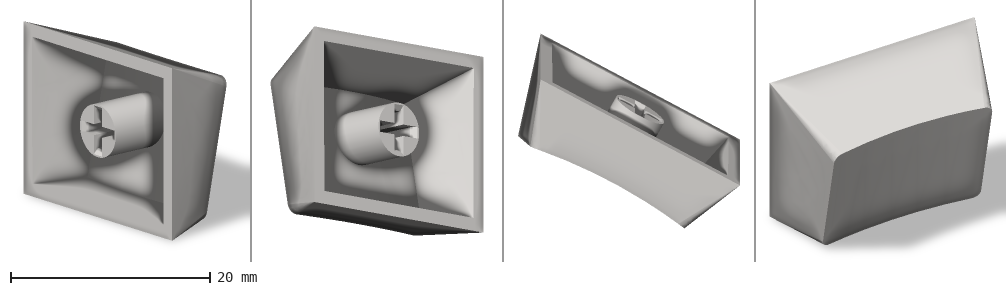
import cadquery as cq
import math

RIM_WIDTH = 22.85
RIM_HEIGHT = 18.0
RIM_CORNER_RADIUS = 0.02
TOP_WIDTH = 17.65
TOP_LENGTH = 14.8
TOP_CORNER_RADIUS = 0.95
TOP_CENTER_Y = 8.15
TOP_CENTER_Z = -1.53
TOP_TILT = 11.5
DISH_SAG = 0.7

WALL = 1.33
OPENING_WIDTH_UPPER = 20.25
OPENING_WIDTH_LOWER = 20.1
CEILING_THICKNESS = 1.23
CEILING_WIDTH_UPPER = 15.68
CEILING_WIDTH_LOWER = 15.81
CEILING_UPPER_Z = 4.85
CEILING_LOWER_Z = -7.56

STEM_RADIUS = 2.75
STEM_LENGTH = 8.23
SOCKET_SPAN = 5.07
SOCKET_FLOOR_SPAN = 4.02
UPRIGHT_SLOT_WIDTH = 1.23
LEVEL_SLOT_WIDTH = 1.17

TILT = math.radians(TOP_TILT)
DISH_RADIUS = ((TOP_WIDTH / 2) ** 2 + DISH_SAG ** 2) / (2 * DISH_SAG)


def facing_plane(y, z=0.0, tilt=0.0):
    """Plane with local x along -X, local y up the top slope and its normal toward +Y."""
    return cq.Plane(
        origin=(0, y, z),
        xDir=(-1, 0, 0),
        normal=(0, math.cos(tilt), -math.sin(tilt)),
    )


def rounded_wire(plane, width, height, corner_radius):
    """Rectangular wire with round corners, centred on the plane's origin."""
    slab_depth = 0.23
    slab = cq.Workplane("XY").rect(width, height).extrude(slab_depth)
    slab = slab.edges("|Z").fillet(corner_radius)
    return slab.faces("<Z").wires().val().moved(plane.location)


def outer_body():
    """Sharp-cornered rim blending into the tilted, round-cornered top."""
    rim = rounded_wire(facing_plane(0), RIM_WIDTH, RIM_HEIGHT, RIM_CORNER_RADIUS)
    top_plane = facing_plane(TOP_CENTER_Y, TOP_CENTER_Z, TILT)
    top = rounded_wire(top_plane, TOP_WIDTH, TOP_LENGTH, TOP_CORNER_RADIUS)
    return cq.Workplane(cq.Solid.makeLoft([rim, top], True))


def dish_cylinder(radius):
    """Cylinder along the top slope whose lowest line is the middle of the dish."""
    axis_height = DISH_RADIUS - DISH_SAG
    plane = facing_plane(TOP_CENTER_Y, TOP_CENTER_Z, TILT)
    along_slope = cq.Plane(
        origin=plane.toWorldCoords((0, 0, axis_height)),
        xDir=(1, 0, 0),
        normal=plane.yDir,
    )
    return cq.Workplane(along_slope).circle(radius).extrude(RIM_WIDTH, both=True)


def cavity():
    """Tapered pocket with a ceiling parallel to the dish."""
    half_height = RIM_HEIGHT / 2 - WALL
    opening = [
        (-OPENING_WIDTH_UPPER / 2, 0, half_height),
        (OPENING_WIDTH_UPPER / 2, 0, half_height),
        (OPENING_WIDTH_LOWER / 2, 0, -half_height),
        (-OPENING_WIDTH_LOWER / 2, 0, -half_height),
    ]

    def ceiling_y(z):
        edge_y = TOP_CENTER_Y + (z - TOP_CENTER_Z) * math.tan(TILT)
        return edge_y - CEILING_THICKNESS

    upper_y = ceiling_y(CEILING_UPPER_Z)
    lower_y = ceiling_y(CEILING_LOWER_Z)
    ceiling = [
        (-CEILING_WIDTH_UPPER / 2, upper_y, CEILING_UPPER_Z),
        (CEILING_WIDTH_UPPER / 2, upper_y, CEILING_UPPER_Z),
        (CEILING_WIDTH_LOWER / 2, lower_y, CEILING_LOWER_Z),
        (-CEILING_WIDTH_LOWER / 2, lower_y, CEILING_LOWER_Z),
    ]
    wires = [
        cq.Wire.makePolygon([cq.Vector(*point) for point in outline], close=True)
        for outline in (opening, ceiling)
    ]
    pocket = cq.Workplane(cq.Solid.makeLoft(wires, True))
    return pocket.cut(dish_cylinder(DISH_RADIUS + CEILING_THICKNESS))


def socket_slot(width, upright):
    """One arm pair of the cross, with sloped lead-ins at both ends."""
    mouth = SOCKET_SPAN / 2
    floor = SOCKET_FLOOR_SPAN / 2
    lead_in = mouth - floor
    profile = [
        (-mouth, 0),
        (mouth, 0),
        (floor, lead_in),
        (floor, STEM_LENGTH),
        (-floor, STEM_LENGTH),
        (-floor, lead_in),
    ]
    slot = cq.Workplane("XY").polyline(profile).close().extrude(width / 2, both=True)
    return slot.rotate((0, 0, 0), (0, 1, 0), 90) if upright else slot


def stem():
    """Round post from the ceiling to the rim plane."""
    return cq.Workplane(facing_plane(0)).circle(STEM_RADIUS).extrude(STEM_LENGTH)


stem_with_socket = (
    stem()
    .cut(socket_slot(UPRIGHT_SLOT_WIDTH, upright=True))
    .cut(socket_slot(LEVEL_SLOT_WIDTH, upright=False))
)
void = cavity().cut(stem_with_socket)
result = outer_body().cut(dish_cylinder(DISH_RADIUS)).cut(void)